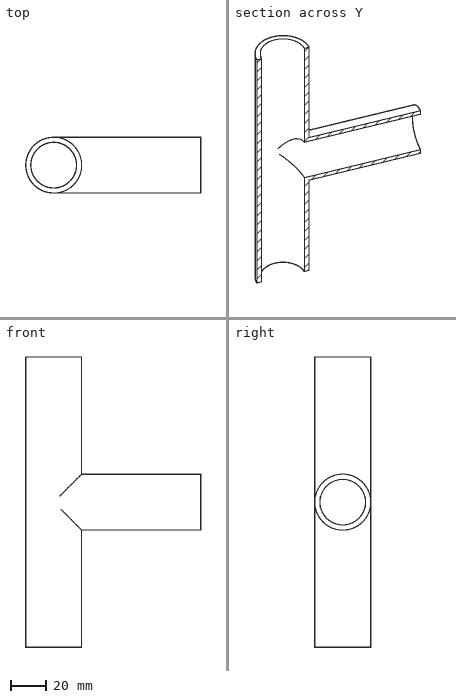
import cadquery as cq

outer_diameter = 32.0
wall_thickness = 3.0
run_length = 166.0
branch_reach = 84.0

inner_diameter = outer_diameter - 2 * wall_thickness


def run_cylinder(diameter):
    """Cylinder along Z, centred on the origin."""
    return cq.Workplane("XY").circle(diameter / 2).extrude(run_length / 2, both=True)


def branch_cylinder(diameter):
    """Cylinder along +X, starting on the run axis."""
    return cq.Workplane("YZ").circle(diameter / 2).extrude(branch_reach)


def tee(diameter):
    """Run and branch cylinders of one diameter, joined."""
    return run_cylinder(diameter).union(branch_cylinder(diameter))


result = tee(outer_diameter).cut(tee(inner_diameter))